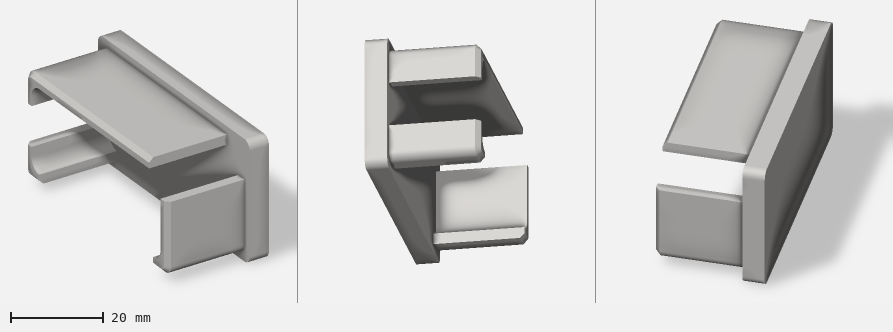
import cadquery as cq

plate_length = 60.0
plate_height = 30.0
plate_thickness = 5.0
corner_radius = 2.0

total_depth = 25.0
wall_inset = 2.05
wall_thickness = 2.45
inner_radius = 3.0
tip_chamfer = 1.1

left_gap_half_height = 5.0
top_wall_end = 21.0
right_wall_top = 5.1

wall_depth = total_depth - plate_thickness
ring_right = plate_length / 2 - wall_inset
ring_top = plate_height / 2 - wall_inset
inner_right = ring_right - wall_thickness
inner_top = ring_top - wall_thickness
stub_inner_end = inner_right - inner_radius


def rounded_block(half_length, half_height, depth, radius):
    """Block centred on the Y axis from Y=0 toward -Y, with its Y-parallel edges rounded."""
    block = cq.Workplane("XZ").rect(2 * half_length, 2 * half_height).extrude(depth)
    return block.edges("|Y").fillet(radius)


def gap_box(left, right, bottom, top):
    """Box over the full wall depth that cuts a gap in the wall ring."""
    box = cq.Workplane("XZ").rect(right - left, top - bottom).extrude(wall_depth)
    return box.translate(((left + right) / 2, 0, (bottom + top) / 2))


ring = rounded_block(ring_right, ring_top, wall_depth, corner_radius)
ring = ring.faces("<Y").chamfer(tip_chamfer)
ring = ring.cut(rounded_block(inner_right, inner_top, wall_depth, inner_radius))

left_gap = gap_box(-ring_right, 0, -left_gap_half_height, left_gap_half_height)
bottom_gap = gap_box(-stub_inner_end, stub_inner_end, -ring_top, 0)
top_right_gap = gap_box(top_wall_end, ring_right, right_wall_top, ring_top)
walls = ring.cut(left_gap).cut(bottom_gap).cut(top_right_gap)

plate = rounded_block(plate_length / 2, plate_height / 2, plate_thickness, corner_radius)
plate = plate.translate((0, plate_thickness, 0))

result = plate.union(walls)